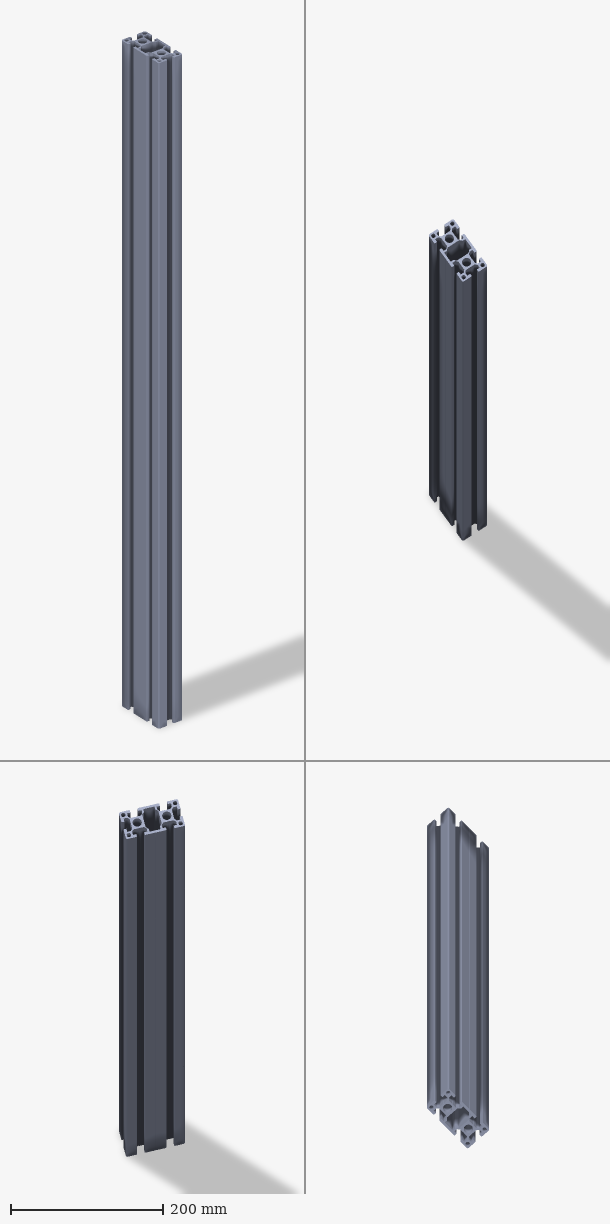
import cadquery as cq
import math

WIDTH = 80.0
DEPTH = 40.0
LENGTH = 1000.0
CORNER_RADIUS = 2.1

CELL = DEPTH
CELL_CENTER = WIDTH / 2 - CELL / 2
CORE_DIAMETER = 12.0

SLOT_OPENING = 10.5
LIP_EDGE_RADIUS = 1.2
LIP_THICKNESS = 4.0
SLOT_WIDTH = 19.6
SLOT_DEPTH = 11.5
SLOT_FLOOR_WIDTH = 14.0

GROOVE_WIDTH = 0.9
GROOVE_DEPTH = 0.45

CAVITY_WIDTH = 21.8
CAVITY_DEPTH = 33.6
CAVITY_END_WIDTH = 15.2
CAVITY_SIDE_HEIGHT = 18.5

HOLLOW_SIZE = 5.5
HOLLOW_WALL = 2.2
HOLLOW_CORNER_RADIUS = 2.1


def place(section, x, y, angle):
    """Turn a section drawn under a +Y face and move that face's middle to (x, y)."""
    return section.rotate((0, 0, 0), (0, 0, 1), angle).translate((x, y, 0))


def t_slot():
    """Slot cutter whose mouth lies on y = 0 and which goes down to -SLOT_DEPTH."""
    mouth = SLOT_OPENING / 2
    mouth_edge = mouth + LIP_EDGE_RADIUS
    undercut = SLOT_WIDTH / 2
    floor = SLOT_FLOOR_WIDTH / 2
    taper_start = SLOT_DEPTH - (undercut - floor)
    half_groove = GROOVE_WIDTH / 2
    arc_drop = LIP_EDGE_RADIUS * (1 - math.cos(math.radians(45)))
    return (
        cq.Workplane("XY")
        .moveTo(-mouth_edge, 0)
        .lineTo(mouth_edge, 0)
        .threePointArc((mouth + arc_drop, -arc_drop), (mouth, -LIP_EDGE_RADIUS))
        .lineTo(mouth, -LIP_THICKNESS)
        .lineTo(undercut, -LIP_THICKNESS)
        .lineTo(undercut, -taper_start)
        .lineTo(floor, -SLOT_DEPTH)
        .lineTo(half_groove, -SLOT_DEPTH)
        .lineTo(0, -SLOT_DEPTH - GROOVE_DEPTH)
        .lineTo(-half_groove, -SLOT_DEPTH)
        .lineTo(-floor, -SLOT_DEPTH)
        .lineTo(-undercut, -taper_start)
        .lineTo(-undercut, -LIP_THICKNESS)
        .lineTo(-mouth, -LIP_THICKNESS)
        .lineTo(-mouth, -LIP_EDGE_RADIUS)
        .threePointArc((-mouth - arc_drop, -arc_drop), (-mouth_edge, 0))
        .close()
        .extrude(LENGTH)
    )


def face_groove():
    """V-groove cutter for the middle of a broad face, its mouth on y = 0."""
    half_groove = GROOVE_WIDTH / 2
    points = [(-half_groove, 0), (half_groove, 0), (0, -GROOVE_DEPTH)]
    return cq.Workplane("XY").polyline(points).close().extrude(LENGTH)


def cavity():
    """Central cavity: a tall rectangle widened at mid-height, with 45 degree shoulders."""
    x_side = CAVITY_WIDTH / 2
    x_end = CAVITY_END_WIDTH / 2
    y_end = CAVITY_DEPTH / 2
    y_side = CAVITY_SIDE_HEIGHT / 2
    y_shoulder = y_side + (x_side - x_end)
    points = [
        (x_side, -y_side),
        (x_side, y_side),
        (x_end, y_shoulder),
        (x_end, y_end),
        (-x_end, y_end),
        (-x_end, y_shoulder),
        (-x_side, y_side),
        (-x_side, -y_side),
        (-x_end, -y_shoulder),
        (-x_end, -y_end),
        (x_end, -y_end),
        (x_end, -y_shoulder),
    ]
    return cq.Workplane("XY").polyline(points).close().extrude(LENGTH)


def corner_hollow():
    """Square bar with rounded corners, centered on the Z axis."""
    bar = cq.Workplane("XY").rect(HOLLOW_SIZE, HOLLOW_SIZE).extrude(LENGTH)
    return bar.edges("|Z").fillet(HOLLOW_CORNER_RADIUS)


body = cq.Workplane("XY").box(WIDTH, DEPTH, LENGTH, centered=(True, True, False))
body = body.edges("|Z").fillet(CORNER_RADIUS)
body = body.cut(cavity())

for side, angle in ((1, 0), (-1, 180)):
    body = body.cut(place(face_groove(), 0, side * DEPTH / 2, angle))
    for x in (-CELL_CENTER, CELL_CENTER):
        body = body.cut(place(t_slot(), x, side * DEPTH / 2, angle))

for side in (-1, 1):
    body = body.cut(place(t_slot(), side * WIDTH / 2, 0, -90 * side))
    core = cq.Workplane("XY").center(side * CELL_CENTER, 0).circle(CORE_DIAMETER / 2)
    body = body.cut(core.extrude(LENGTH))

hollow_inset = HOLLOW_WALL + HOLLOW_SIZE / 2
for x in (hollow_inset - WIDTH / 2, WIDTH / 2 - hollow_inset):
    for y in (hollow_inset - DEPTH / 2, DEPTH / 2 - hollow_inset):
        body = body.cut(corner_hollow().translate((x, y, 0)))

result = body